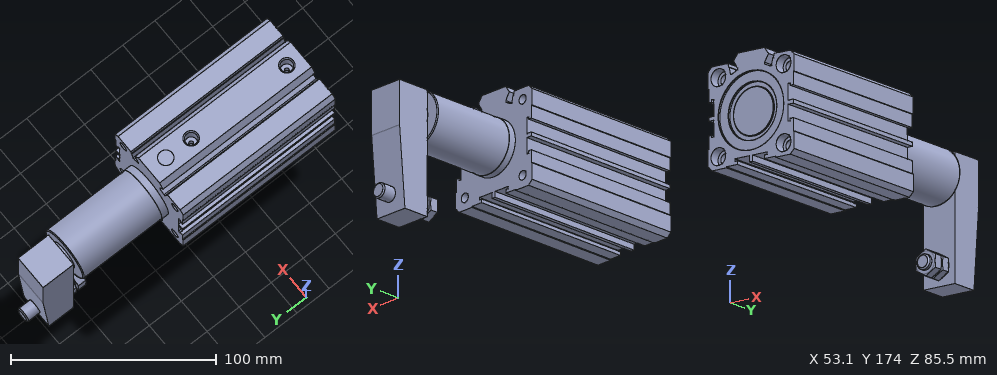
import cadquery as cq
import math


housing_length = 95.0
half_width = 26.54
top_height = 26.3
corner_chamfer = 2.5
side_relief = 0.5
relief_start = 15.1
slot_lip = 8.4
slot_undercut = 9.5
bottom_slot_undercut = 10.0
slot_lip_depth = 2.0
slot_depth = 3.1
slot_rib_half = 1.0

rail_top = 30.5
rail_top_half = 8.2
rail_point = (10.8, 26.8)
groove_inner_x = 8.4
groove_inner_z = (22.8, 22.0)
groove_floor_z = 20.4
groove_floor_x = (11.7, 12.5)
groove_step_z = 24.2
groove_step_x = (13.4, 13.7)
groove_mouth = 14.1

hole_offset = 20.0
counterbore_diameter = 9.0
counterbore_depth = 5.5
bolt_hole_diameter = 5.5
thread_diameter = 4.9
thread_length = 10.0

port_positions = (9.0, 68.7)
port_diameter = 6.6
port_chamfer = 0.7
port_depth = 7.8
port_bore_diameter = 2.5
port_bore_depth = 11.3
plug_position = 84.5
plug_diameter = 8.0
plug_recess = 0.2

bore_diameter = 40.0
ring_groove_diameter = 29.5
cap_diameter = 25.0
rim_chamfer = 0.2
bore_recess = 1.2
ring_groove_depth = 2.5
cap_recess = 2.0
cap_chamfer = 0.3

collar_diameter = 30.0
collar_length = 4.0
sleeve_diameter = 29.5
sleeve_end = 147.9
sleeve_chamfer = 0.5

rod_diameter = 16.0
arm_face = 150.0
arm_thickness = 19.0
arm_tip_thickness = 15.3
arm_width = 19.5
arm_top = 12.0
arm_taper_start = -12.0
arm_bottom = -55.0

bolt_z = -45.0
bolt_diameter = 8.0
bolt_tip = 174.0
bolt_tip_chamfer = 0.7
bolt_end = 136.8
bolt_end_chamfer = 0.9
nut_sides = 6
nut_flats = 12.0
nut_chamfer_diameter = 11.5
nut_chamfer_angle = 15
nut_thickness = 5.0
nut_gap = 0.9
nut_count = 2


def along_y(start, end, diameter, x=0, z=0):
    """Round bar parallel to Y between two Y positions."""
    return cq.Workplane("XZ", origin=(x, start, z)).circle(diameter / 2).extrude(start - end)


def rear_recess(start, end, diameter):
    """Cutter for a round recess whose rim, at the start, is chamfered."""
    rim = cq.Workplane("XZ", origin=(0, start, 0)).circle(diameter / 2 + rim_chamfer)
    rim = rim.workplane(offset=-rim_chamfer).circle(diameter / 2).loft()
    return along_y(start, end, diameter).union(rim)


def housing_profile():
    """Closed outline of the extrusion in X and Z, mirrored about X = 0."""
    corner = half_width - corner_chamfer
    relief = half_width - side_relief
    lip = relief - slot_lip_depth
    floor = relief - slot_depth
    side = [
        (rail_top_half, rail_top),
        rail_point,
        (groove_inner_x, groove_inner_z[0]),
        (groove_inner_x, groove_inner_z[1]),
        (groove_floor_x[0], groove_floor_z),
        (groove_floor_x[1], groove_floor_z),
        (groove_step_x[0], groove_step_z),
        (groove_step_x[1], groove_step_z),
        (groove_mouth, top_height),
        (corner, top_height),
        (half_width, top_height - corner_chamfer),
        (half_width, relief_start),
        (relief, relief_start),
        (relief, slot_lip),
        (lip, slot_lip),
        (lip, slot_undercut),
        (floor, slot_undercut),
        (floor, slot_rib_half),
        (relief, slot_rib_half),
        (relief, -slot_rib_half),
        (floor, -slot_rib_half),
        (floor, -slot_undercut),
        (lip, -slot_undercut),
        (lip, -slot_lip),
        (relief, -slot_lip),
        (relief, -relief_start),
        (half_width, -relief_start),
        (half_width, -corner),
        (corner, -half_width),
        (relief_start, -half_width),
        (relief_start, -relief),
        (slot_lip, -relief),
        (slot_lip, -lip),
        (bottom_slot_undercut, -lip),
        (bottom_slot_undercut, -floor),
        (slot_rib_half, -floor),
        (slot_rib_half, -relief),
    ]
    mirrored = [(-x, z) for x, z in reversed(side)]
    return side + mirrored


def make_housing():
    body = cq.Workplane("XZ").polyline(housing_profile()).close().extrude(-housing_length)

    for x in (-hole_offset, hole_offset):
        for z in (-hole_offset, hole_offset):
            body = body.cut(along_y(0, housing_length, thread_diameter, x, z))
            body = body.cut(along_y(0, housing_length - thread_length, bolt_hole_diameter, x, z))
            body = body.cut(along_y(0, counterbore_depth, counterbore_diameter, x, z))

    for y in port_positions:
        top = cq.Workplane("XY", origin=(0, y, rail_top))
        port = top.circle(port_diameter / 2).extrude(-port_depth)
        bore = top.circle(port_bore_diameter / 2).extrude(-port_bore_depth)
        countersink = top.circle(port_diameter / 2 + port_chamfer).workplane(offset=-port_chamfer)
        countersink = countersink.circle(port_diameter / 2).loft()
        body = body.cut(port).cut(bore).cut(countersink)

    plug = cq.Workplane("XY", origin=(0, plug_position, rail_top))
    body = body.cut(plug.circle(plug_diameter / 2).extrude(-plug_recess))

    body = body.cut(rear_recess(0, bore_recess, bore_diameter))
    cap_face = along_y(cap_recess, ring_groove_depth, cap_diameter).faces("<Y").chamfer(cap_chamfer)
    body = body.cut(rear_recess(bore_recess, ring_groove_depth, ring_groove_diameter).cut(cap_face))

    collar_end = housing_length + collar_length
    body = body.union(along_y(housing_length, collar_end, collar_diameter))
    sleeve = along_y(collar_end, sleeve_end, sleeve_diameter).faces(">Y").chamfer(sleeve_chamfer)
    return body.union(sleeve)


def make_nut(face):
    """Hexagon nut reaching from one Y position toward the rear, with shallow conical chamfers."""
    half_side_angle = math.pi / nut_sides
    corner_radius = nut_flats / 2 / math.cos(half_side_angle)
    cone_radius = nut_chamfer_diameter / 2
    cone_height = (corner_radius - cone_radius) * math.tan(math.radians(nut_chamfer_angle))
    corners = []
    for i in range(nut_sides):
        angle = half_side_angle * (2 * i + 1)
        corners.append((corner_radius * math.cos(angle), corner_radius * math.sin(angle)))
    hexagon = cq.Workplane("XZ", origin=(0, face, bolt_z)).polyline(corners).close()
    hexagon = hexagon.extrude(nut_thickness)
    half_section = [
        (0, face),
        (cone_radius, face),
        (corner_radius, face - cone_height),
        (corner_radius, face - nut_thickness + cone_height),
        (cone_radius, face - nut_thickness),
        (0, face - nut_thickness),
    ]
    envelope = cq.Workplane("XY", origin=(0, 0, bolt_z)).polyline(half_section).close()
    return hexagon.intersect(envelope.revolve(360, (0, 0), (0, 1)))


def make_clamp():
    arm_back = arm_face + arm_thickness
    outline = [
        (arm_face, arm_top),
        (arm_back, arm_top),
        (arm_back, arm_taper_start),
        (arm_face + arm_tip_thickness, arm_bottom),
        (arm_face, arm_bottom),
    ]
    clamp = cq.Workplane("YZ").polyline(outline).close().extrude(arm_width / 2, both=True)
    clamp = clamp.union(along_y(sleeve_end, arm_face, rod_diameter))

    bolt = along_y(bolt_end, bolt_tip, bolt_diameter, z=bolt_z)
    bolt = bolt.faces(">Y").chamfer(bolt_tip_chamfer).faces("<Y").chamfer(bolt_end_chamfer)
    clamp = clamp.union(bolt)

    for i in range(nut_count):
        clamp = clamp.union(make_nut(arm_face - i * (nut_thickness + nut_gap)))
    return clamp


housing = make_housing()
clamp = make_clamp()
result = cq.Compound.makeCompound([housing.val(), clamp.val()])